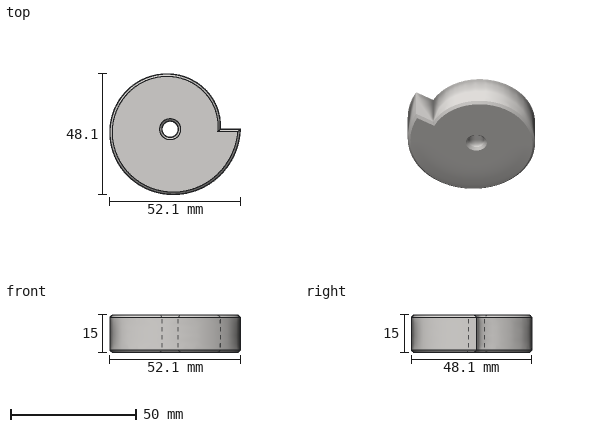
import cadquery as cq
import math

start_radius = 20.05
end_radius = 28.0
thickness = 15.0
bore_diameter = 6.4
edge_chamfer = 1.0
spiral_points = 48


def rim_point(turn):
    """Point on the Archimedean rim; turn runs from 0 to 1, counterclockwise from +X."""
    radius = start_radius + (end_radius - start_radius) * turn
    angle = 2 * math.pi * turn
    return (radius * math.cos(angle), radius * math.sin(angle))


body = (
    cq.Workplane("XY")
    .parametricCurve(rim_point, N=spiral_points, makeWire=False)
    .moveTo(end_radius, 0)
    .lineTo(start_radius, 0)
    .wire()
    .extrude(thickness)
)

cam = body.faces(">Z").workplane(origin=(0, 0, 0)).hole(bore_diameter)

result = cam.faces("|Z").edges().chamfer(edge_chamfer)